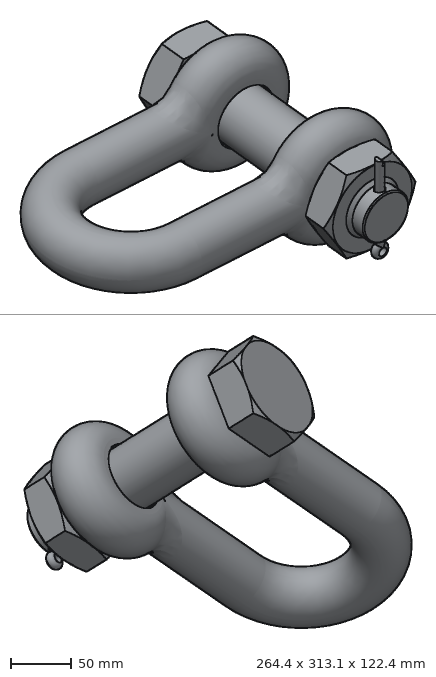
import cadquery as cq
import math


BAR_WIDTH = 51.0
BAR_CORNER_RADIUS = 25.0
INSIDE_WIDTH = 82.0
LEG_LENGTH = 159.84
EYE_OUTER_RADIUS = 61.21
EYE_BLEND_RADIUS = 37.0

EYE_TUBE_RADIUS = BAR_WIDTH / 2
EYE_RING_RADIUS = EYE_OUTER_RADIUS - EYE_TUBE_RADIUS
LEG_OFFSET = (INSIDE_WIDTH + BAR_WIDTH) / 2
SHACKLE_HALF_WIDTH = INSIDE_WIDTH / 2 + BAR_WIDTH

BOLT_DIAMETER = 57.15
BOLT_BORE_DIAMETER = 60.3
BOLT_LENGTH = 264.41
HEAD_THICKNESS = 31.9
HEAD_ACROSS_FLATS = 85.4
NUT_THICKNESS = 30.4
NUT_ACROSS_FLATS = 87.0
HEX_FACE_RADIUS = 43.0
HEX_CHAMFER_LENGTH = 3.7
NECK_DIAMETER = 49.8
NECK_END_CHAMFER = 1.3

HEAD_START = -SHACKLE_HALF_WIDTH - HEAD_THICKNESS
BOLT_END = HEAD_START + BOLT_LENGTH
NUT_START = SHACKLE_HALF_WIDTH
NUT_END = NUT_START + NUT_THICKNESS
NECK_TAPER_LENGTH = (BOLT_DIAMETER - NECK_DIAMETER) / 2

SPLIT_PIN_DIAMETER = 8.3
SPLIT_PIN_X = 131.9
SPLIT_PIN_HOLE_DIAMETER = 10.2
LONG_PRONG_TOP = 56.0
SHORT_PRONG_TOP = 50.6
LOOP_BOTTOM = -47.0

SPLIT_PIN_RADIUS = SPLIT_PIN_DIAMETER / 2
LOOP_OUTER_RADIUS = SPLIT_PIN_DIAMETER
LOOP_INNER_RADIUS = LOOP_OUTER_RADIUS - SPLIT_PIN_RADIUS
LOOP_CENTRE_Z = LOOP_BOTTOM + LOOP_OUTER_RADIUS


def bar_section():
    """Rounded-square cross-section of the bar, with narrow flats left between its corners."""
    return cq.Sketch().rect(BAR_WIDTH, BAR_WIDTH).vertices().fillet(BAR_CORNER_RADIUS)


def eye_and_leg(x):
    """One straight leg with a round-rimmed eye blended onto its end."""
    eye = (
        cq.Workplane("XY")
        .moveTo(-EYE_TUBE_RADIUS, 0)
        .lineTo(-EYE_TUBE_RADIUS, -EYE_RING_RADIUS)
        .threePointArc((0, -EYE_OUTER_RADIUS), (EYE_TUBE_RADIUS, -EYE_RING_RADIUS))
        .lineTo(EYE_TUBE_RADIUS, 0)
        .close()
        .revolve(360, (0, 0, 0), (1, 0, 0))
    )
    leg = cq.Workplane("XZ").placeSketch(bar_section()).extrude(LEG_LENGTH)
    joined = eye.union(leg)
    blended = joined.edges("%BSPLINE").fillet(EYE_BLEND_RADIUS)
    return blended.translate((x, 0, 0))


def make_shackle():
    """U-shaped shackle: two eyed legs, the half-ring bow and a clearance bore for the bolt."""
    bow = (
        cq.Workplane("XZ", origin=(LEG_OFFSET, -LEG_LENGTH, 0))
        .placeSketch(bar_section())
        .revolve(180, (-LEG_OFFSET, 0, 0), (-LEG_OFFSET, -1, 0))
    )
    shackle = bow
    for x in (-LEG_OFFSET, LEG_OFFSET):
        shackle = shackle.union(eye_and_leg(x))
    bore = (
        cq.Workplane("YZ")
        .circle(BOLT_BORE_DIAMETER / 2)
        .extrude(SHACKLE_HALF_WIDTH, both=True)
    )
    return shackle.cut(bore)


def hexagon(start, thickness, across_flats, chamfer_both_ends):
    """Hexagonal block along X with flats at top and bottom; its corners are turned off at the ends."""
    corner_radius = across_flats / math.sqrt(3)
    block = cq.Workplane("YZ", origin=(start, 0, 0)).polygon(6, 2 * corner_radius).extrude(thickness)
    end = start + thickness
    profile = [(start, 0), (start, HEX_FACE_RADIUS), (start + HEX_CHAMFER_LENGTH, corner_radius)]
    if chamfer_both_ends:
        profile += [(end - HEX_CHAMFER_LENGTH, corner_radius), (end, HEX_FACE_RADIUS), (end, 0)]
    else:
        profile += [(end, corner_radius), (end, 0)]
    envelope = cq.Workplane("XY").polyline(profile).close().revolve(360, (0, 0, 0), (1, 0, 0))
    return block.intersect(envelope)


def make_shank():
    """Turned shank that tapers past the nut to a thinner chamfered neck."""
    shank_radius = BOLT_DIAMETER / 2
    neck_radius = NECK_DIAMETER / 2
    profile = [
        (-SHACKLE_HALF_WIDTH, 0),
        (-SHACKLE_HALF_WIDTH, shank_radius),
        (NUT_END, shank_radius),
        (NUT_END + NECK_TAPER_LENGTH, neck_radius),
        (BOLT_END - NECK_END_CHAMFER, neck_radius),
        (BOLT_END, neck_radius - NECK_END_CHAMFER),
        (BOLT_END, 0),
    ]
    return cq.Workplane("XZ").polyline(profile).close().revolve(360, (0, 0, 0), (1, 0, 0))


def prong(side, top):
    """Half-round prong rising from the loop; side is -1 for the -Y half and 1 for the +Y half."""
    foot = LOOP_CENTRE_Z + LOOP_INNER_RADIUS
    return (
        cq.Workplane("XY", origin=(SPLIT_PIN_X, 0, foot))
        .moveTo(-SPLIT_PIN_RADIUS, 0)
        .threePointArc((0, side * SPLIT_PIN_RADIUS), (SPLIT_PIN_RADIUS, 0))
        .close()
        .extrude(top - foot)
    )


def make_split_pin():
    """Split pin of two half-round prongs, the -Y one longer, joined by a half-round loop below."""
    loop = (
        cq.Workplane("XY", origin=(SPLIT_PIN_X, 0, LOOP_CENTRE_Z))
        .moveTo(-SPLIT_PIN_RADIUS, LOOP_INNER_RADIUS)
        .threePointArc((0, LOOP_OUTER_RADIUS), (SPLIT_PIN_RADIUS, LOOP_INNER_RADIUS))
        .close()
        .revolve(360, (0, 0, 0), (1, 0, 0))
    )
    return prong(-1, LONG_PRONG_TOP).union(prong(1, SHORT_PRONG_TOP)).union(loop)


def make_bolt():
    """Bolt with its head and nut, drilled through the neck for the split pin."""
    head = hexagon(HEAD_START, HEAD_THICKNESS, HEAD_ACROSS_FLATS, chamfer_both_ends=False)
    nut = hexagon(NUT_START, NUT_THICKNESS, NUT_ACROSS_FLATS, chamfer_both_ends=True)
    pin_hole = (
        cq.Workplane("XY", origin=(SPLIT_PIN_X, 0, 0))
        .circle(SPLIT_PIN_HOLE_DIAMETER / 2)
        .extrude(NECK_DIAMETER, both=True)
    )
    return head.union(make_shank()).union(nut).cut(pin_hole)


bolted_shackle = make_shackle().union(make_bolt())
split_pin = make_split_pin()

result = cq.Compound.makeCompound([bolted_shackle.val(), split_pin.val()])